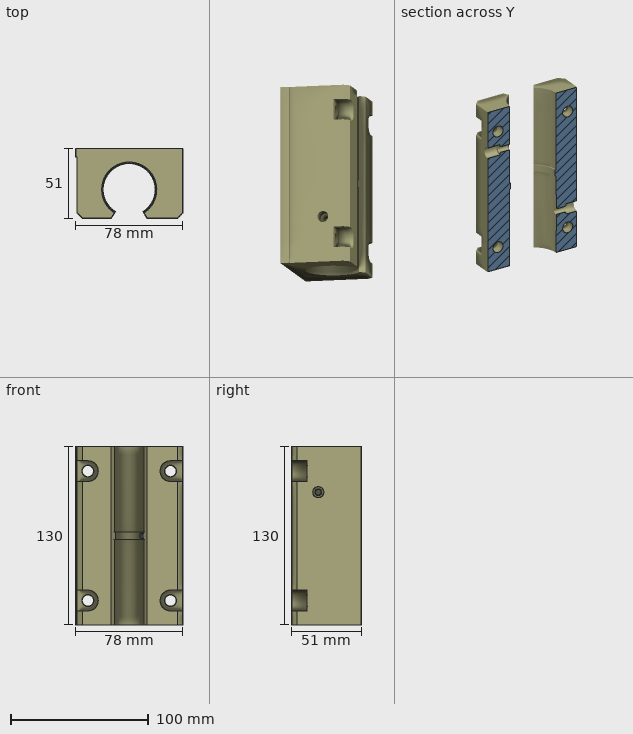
import cadquery as cq
import math

width = 78.0
depth = 51.0
length = 130.0
half_width = width / 2

ledge_height = 6.5
ledge_step = 1.0
back_chamfer = 0.4
front_chamfer_x = 3.9
front_chamfer_y = 4.0

bore_y = -30.0
bore_diameter = 40.0
rib_diameter = 38.0
rib_length = 5.2
opening_half_angle = math.radians(32)

screw_x = 30.0
screw_z = 47.0
screw_diameter = 8.3
seat_width = 15.1
seat_depth = 11.3

lube_y = -31.6
lube_z = 31.7
lube_diameter = 4.2
lube_seat_diameter = 4.8
lube_seat_depth = 11.7
lube_port_diameter = 8.0
lube_port_depth = 10.4

pin_diameter = 4.2
pin_angle = math.radians(60)


def make_block():
    side_x = -half_width + ledge_step
    outline = [
        (-half_width + back_chamfer, 0),
        (half_width - back_chamfer, 0),
        (half_width, -back_chamfer),
        (half_width, -depth + front_chamfer_y),
        (half_width - front_chamfer_x, -depth),
        (side_x + front_chamfer_x, -depth),
        (side_x, -depth + front_chamfer_y),
        (side_x, -ledge_height),
        (-half_width, -ledge_height),
        (-half_width, -back_chamfer),
    ]
    return cq.Workplane("XY").polyline(outline).close().extrude(length / 2, both=True)


def make_bore():
    bore = cq.Workplane("XY").center(0, bore_y).circle(bore_diameter / 2).extrude(length / 2, both=True)
    rib = (
        cq.Workplane("XY").center(0, bore_y)
        .circle(bore_diameter / 2).circle(rib_diameter / 2)
        .extrude(rib_length / 2, both=True)
    )
    return bore.cut(rib)


def make_opening():
    """Wedge from the bore axis whose sides are radial to the bore."""
    reach = depth
    half_mouth = reach * math.tan(opening_half_angle)
    wedge = [(0, bore_y), (-half_mouth, bore_y - reach), (half_mouth, bore_y - reach)]
    return cq.Workplane("XY").polyline(wedge).close().extrude(length / 2, both=True)


def make_screw_hole(side, z):
    """Through hole along Y with a round-ended seat open to the side face."""
    x = side * screw_x
    hole = cq.Workplane("XZ").center(x, z).circle(screw_diameter / 2).extrude(depth)
    seat_plane = cq.Workplane("XZ", origin=(0, -depth + seat_depth, 0))
    round_end = seat_plane.center(x, z).circle(seat_width / 2).extrude(seat_depth)
    run_out = half_width - screw_x
    channel = seat_plane.center(x + side * run_out / 2, z).rect(run_out, seat_width).extrude(seat_depth)
    return hole.union(round_end).union(channel)


def make_lube_hole(side):
    """Port, step and smaller passage from one side face into the bore."""
    start = cq.Vector(side * half_width, lube_y, side * lube_z)
    inward = cq.Vector(-side, 0, 0)
    passage = cq.Solid.makeCylinder(lube_diameter / 2, half_width, start, inward)
    port = cq.Solid.makeCylinder(lube_port_diameter / 2, lube_port_depth, start, inward)
    seat = cq.Solid.makeCylinder(lube_seat_diameter / 2, lube_seat_depth, start, inward)
    return cq.Workplane(passage).union(cq.Workplane(seat)).union(cq.Workplane(port))


def make_pin_hole():
    """Hole from the bore axis, through the rib, out of the back face."""
    start = cq.Vector(0, bore_y, 0)
    outward = cq.Vector(math.cos(pin_angle), math.sin(pin_angle), 0)
    return cq.Workplane(cq.Solid.makeCylinder(pin_diameter / 2, depth, start, outward))


result = make_block().cut(make_bore()).cut(make_opening()).cut(make_pin_hole())
for side in (-1, 1):
    result = result.cut(make_lube_hole(side))
    for z in (-screw_z, screw_z):
        result = result.cut(make_screw_hole(side, z))